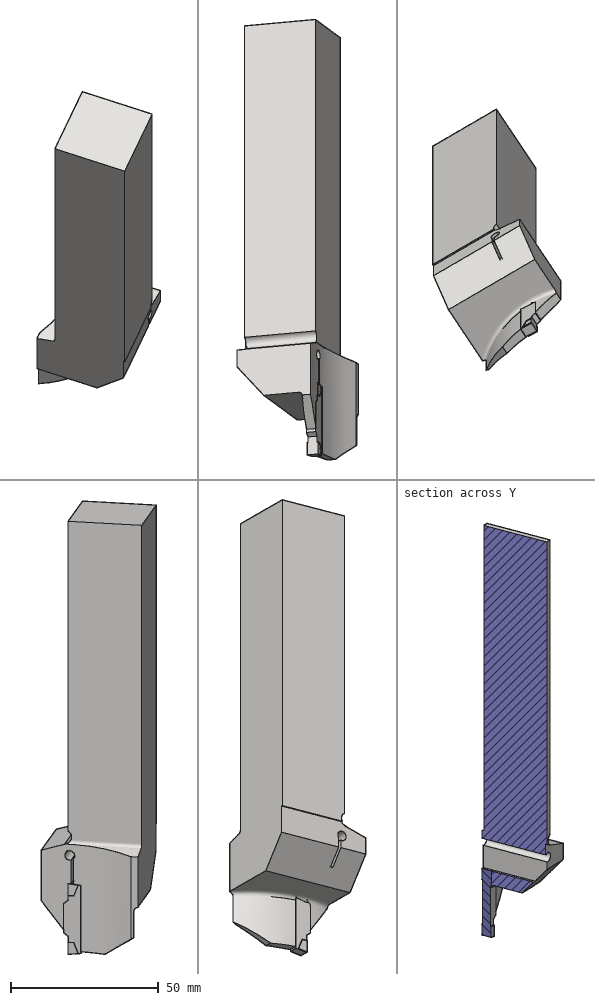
import cadquery as cq
import math

LENGTH = 152.4
DEPTH = 34.5
WIDTH = 32.0

SHANK_LEFT = 6.5
SHANK_DEPTH = 25.5
CORNER_RADIUS = 1.4

HEAD_RIGHT = 31.5
SHOULDER_Z = 38.7
HEAD_TOP = SHOULDER_Z + CORNER_RADIUS
SHOULDER_DROP = 1.4
HEAD_BOTTOM = 19.7
BEVEL_TOP = 30.5
BEVEL_BOTTOM_X = 22.0
BACK_SHOULDER_Z = 36.4
RELIEF_RADIUS = 2.3
RELIEF_Y = 26.5
RELIEF_Z = 41.1

ARC_Y = 25.3
INNER_X = 5.8
INNER_START_Y = 2.5
INNER_END_Y = 32.6
OUTER_X = 9.3
OUTER_START_Y = 1.4
BLADE_BOTTOM = 1.2
BLADE_FRONT_Z = 8.8
BLADE_TIP_Y = 12.2
BLADE_BACK_Z = 18.6
BLADE_BACK_LOW_Y = 26.8
BLADE_BACK_LOW_Z = 8.5
ROOT_RADIUS = 1.4
PICK_MARGIN = 0.2

HOLE_Y = 24.7
HOLE_Z = 34.9
HOLE_RADIUS = 1.7
SLIT_Y = 23.8
SLIT_WIDTH = 0.9

INSERT_LENGTH = 25.0
INSERT_FLOOR_Y = 20.9
EDGE_Y = 25.3
CREST_Y = 26.8
CREST_LOW = 7.5
CREST_HIGH = 17.8
CREST_BEVEL = 1.2
END_RELIEF = 0.5
BODY_LEFT = 6.0
BODY_RIGHT = OUTER_X
TIP_OVERHANG = 0.3
TIP_LENGTH = 4.3
TIP_FOOT_Y = 21.8
TIP_SHOULDER_Y = 23.3


def side_prism(points, left, right):
    """Extrude a closed (Y, Z) outline from X = left to X = right."""
    return cq.Workplane("YZ").workplane(offset=left).polyline(points).close().extrude(right - left)


def arc_radius(half_chord, rise):
    """Radius of an arc from its half chord and its rise."""
    return (half_chord**2 + rise**2) / (2 * rise)


INNER_RADIUS = arc_radius(ARC_Y - INNER_START_Y, INNER_X)
OUTER_RADIUS = arc_radius(ARC_Y - OUTER_START_Y, OUTER_X)


def face_x(crest_x, radius, y):
    """X of a blade face at the given Y."""
    return crest_x - radius + math.sqrt(radius**2 - (y - ARC_Y)**2)


def make_shank():
    """Plain square-edged bar above the head."""
    return cq.Workplane("XY").box(
        WIDTH - SHANK_LEFT, SHANK_DEPTH, LENGTH - HEAD_TOP, centered=False
    ).translate((SHANK_LEFT, 0, HEAD_TOP))


def make_head():
    """Cranked head: front outline and side outline intersected."""
    corner_inset = CORNER_RADIUS * (1 - math.sqrt(0.5))
    front = (
        cq.Workplane("XZ")
        .moveTo(0, HEAD_BOTTOM)
        .lineTo(BEVEL_BOTTOM_X, HEAD_BOTTOM)
        .lineTo(HEAD_RIGHT, BEVEL_TOP)
        .lineTo(HEAD_RIGHT, HEAD_TOP)
        .lineTo(SHANK_LEFT, HEAD_TOP)
        .threePointArc(
            (SHANK_LEFT - corner_inset, SHOULDER_Z + corner_inset),
            (SHANK_LEFT - CORNER_RADIUS, SHOULDER_Z),
        )
        .lineTo(0, SHOULDER_Z - SHOULDER_DROP)
        .close()
        .extrude(-DEPTH)
    )
    side = side_prism(
        [
            (0, HEAD_BOTTOM),
            (DEPTH, HEAD_BOTTOM),
            (DEPTH, BACK_SHOULDER_Z),
            (RELIEF_Y, SHOULDER_Z),
            (SHANK_DEPTH, HEAD_TOP),
            (0, HEAD_TOP),
        ],
        0,
        WIDTH,
    )
    return front.intersect(side)


def make_blade():
    """Curved blade below the head, trimmed to its side outline."""
    back_x = face_x(OUTER_X, OUTER_RADIUS, DEPTH)
    wall = (
        cq.Workplane("XY")
        .moveTo(0, OUTER_START_Y)
        .threePointArc((OUTER_X, ARC_Y), (back_x, DEPTH))
        .lineTo(0, DEPTH)
        .close()
        .extrude(HEAD_BOTTOM)
    )
    outline = side_prism(
        [
            (0, HEAD_BOTTOM),
            (OUTER_START_Y, BLADE_FRONT_Z),
            (BLADE_TIP_Y, BLADE_BOTTOM),
            (INSERT_FLOOR_Y, BLADE_BOTTOM),
            (INSERT_FLOOR_Y, BLADE_BACK_LOW_Z),
            (BLADE_BACK_LOW_Y, BLADE_BACK_LOW_Z),
            (DEPTH, BLADE_BACK_Z),
            (DEPTH, HEAD_BOTTOM),
        ],
        0,
        WIDTH,
    )
    return wall.intersect(outline)


def make_hollow():
    """Space in front of the concave blade face and the flat behind it."""
    end_x = face_x(INNER_X, INNER_RADIUS, INNER_END_Y)
    return (
        cq.Workplane("XY")
        .moveTo(0, INNER_START_Y)
        .threePointArc((INNER_X, ARC_Y), (end_x, INNER_END_Y))
        .lineTo(end_x, DEPTH)
        .lineTo(0, DEPTH)
        .close()
        .extrude(HEAD_TOP)
    )


def make_relief():
    """Round relief groove where the back of the shank meets the head."""
    return cq.Workplane("YZ").center(RELIEF_Y, RELIEF_Z).circle(RELIEF_RADIUS).extrude(WIDTH)


def make_slit():
    """Clamping slit that runs from the insert pocket to a round hole."""
    hole = cq.Workplane("YZ").center(HOLE_Y, HOLE_Z).circle(HOLE_RADIUS).extrude(WIDTH)
    slot = cq.Workplane("XY").box(
        WIDTH, SLIT_WIDTH, HOLE_Z - INSERT_LENGTH, centered=(False, True, False)
    ).translate((0, SLIT_Y, INSERT_LENGTH))
    return hole.union(slot)


def insert_bar(left, right):
    """Insert outline with a raised crest between its two cutting ends."""
    return side_prism(
        [
            (INSERT_FLOOR_Y, END_RELIEF),
            (EDGE_Y, 0),
            (EDGE_Y, CREST_LOW - CREST_BEVEL),
            (CREST_Y, CREST_LOW),
            (CREST_Y, CREST_HIGH),
            (EDGE_Y, CREST_HIGH + CREST_BEVEL),
            (EDGE_Y, INSERT_LENGTH),
            (INSERT_FLOOR_Y, INSERT_LENGTH - END_RELIEF),
        ],
        left,
        right,
    )


def insert_tip():
    """Wider cutting end at the bottom of the insert."""
    return side_prism(
        [
            (EDGE_Y, 0),
            (EDGE_Y, TIP_LENGTH),
            (TIP_SHOULDER_Y, TIP_LENGTH),
            (TIP_FOOT_Y, END_RELIEF),
        ],
        BODY_LEFT - TIP_OVERHANG,
        BODY_RIGHT + TIP_OVERHANG,
    )


def make_insert():
    """Insert bar with a cutting tip at each end."""
    bar = insert_bar(BODY_LEFT, BODY_RIGHT)
    low_tip = insert_tip()
    high_tip = low_tip.mirror("XY", (0, 0, INSERT_LENGTH / 2))
    return bar.union(low_tip).union(high_tip)


def make_holder(insert):
    """Tool holder with a pocket that fits the insert."""
    holder = make_head().union(make_blade())
    root = cq.selectors.BoxSelector(
        (0, 0, HEAD_BOTTOM - PICK_MARGIN), (WIDTH, DEPTH, HEAD_BOTTOM + PICK_MARGIN)
    )
    holder = holder.edges(root).edges("%CIRCLE").fillet(ROOT_RADIUS)
    holder = holder.union(make_shank()).cut(make_hollow()).cut(make_relief()).cut(make_slit())
    pocket = insert_bar(0, BODY_RIGHT)
    return holder.cut(pocket).cut(insert)


insert = make_insert()
holder = make_holder(insert)
result = cq.Compound.makeCompound([holder.solids().val(), insert.solids().val()])